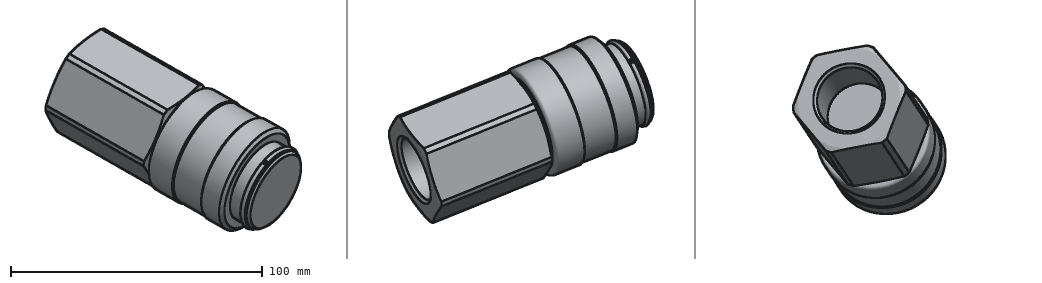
import cadquery as cq
import math


hex_across_flats = 41.0
hex_corner_dia = 45.9
hex_tilt = -8.2
hex_length = 51.1
front_face_dia = 41.4
front_chamfer_length = 0.6
back_chamfer_length = 1.0

bore_dia = 26.4
bore_mouth_dia = 29.0
bore_depth = 24.75

neck_dia = 39.2

sleeve_dia = 45.9
sleeve_start = 52.1
sleeve_end = 89.5
sleeve_fillet = 1.4
sleeve_end_face_dia = 42.3
sleeve_end_chamfer_length = 1.3

band_dia = 45.0
band_start = 64.5
band_end = 79.3
band_edge_length = 0.5

spigot_dia = 35.0
spigot_end = 99.0
spigot_chamfer = 1.1

wire_dia = 2.2
groove_floor_dia = 32.6
ring_x = 95.9
ring_gap_angle = 4.6
ring_gap_tilt = 10.4


def cylinder(diameter, start, end):
    """Solid cylinder on the X axis."""
    return cq.Workplane("YZ").workplane(offset=start).circle(diameter / 2).extrude(end - start)


def turned(points):
    """Solid of revolution about the X axis from (x, radius) points."""
    return cq.Workplane("XY").polyline(points).close().revolve(360, (0, 0, 0), (1, 0, 0))


def make_hex_end():
    corner_to_corner = hex_across_flats / math.cos(math.pi / 6)
    prism = (
        cq.Workplane("YZ")
        .polygon(6, corner_to_corner)
        .extrude(hex_length)
        .rotate((0, 0, 0), (1, 0, 0), hex_tilt)
    )
    corner_envelope = turned([
        (0, 0),
        (0, front_face_dia / 2),
        (front_chamfer_length, hex_corner_dia / 2),
        (hex_length - back_chamfer_length, hex_corner_dia / 2),
        (hex_length, neck_dia / 2),
        (hex_length, 0),
    ])
    return prism.intersect(corner_envelope)


def make_sleeve():
    sleeve = turned([
        (sleeve_start, 0),
        (sleeve_start, sleeve_dia / 2),
        (band_start, sleeve_dia / 2),
        (band_start + band_edge_length, band_dia / 2),
        (band_end - band_edge_length, band_dia / 2),
        (band_end, sleeve_dia / 2),
        (sleeve_end - sleeve_end_chamfer_length, sleeve_dia / 2),
        (sleeve_end, sleeve_end_face_dia / 2),
        (sleeve_end, 0),
    ])
    return sleeve.faces("<X").edges().fillet(sleeve_fillet)


def make_spigot():
    spigot = cylinder(spigot_dia, sleeve_end, spigot_end).faces(">X").chamfer(spigot_chamfer)
    groove_start = ring_x - wire_dia / 2
    groove_end = ring_x + wire_dia / 2
    groove = cylinder(spigot_dia, groove_start, groove_end).cut(
        cylinder(groove_floor_dia, groove_start, groove_end)
    )
    return spigot.cut(groove)


def make_bore():
    mouth_chamfer = (bore_mouth_dia - bore_dia) / 2
    return turned([
        (0, 0),
        (0, bore_mouth_dia / 2),
        (mouth_chamfer, bore_dia / 2),
        (bore_depth, bore_dia / 2),
        (bore_depth, 0),
    ])


def make_coupling():
    neck = cylinder(neck_dia, hex_length, sleeve_start)
    return make_hex_end().union(neck).union(make_sleeve()).union(make_spigot()).cut(make_bore())


def make_snap_ring():
    """Round wire resting on the groove floor, open at the top."""
    wire_centre_radius = (groove_floor_dia + wire_dia) / 2
    return (
        cq.Workplane("XZ")
        .center(ring_x, wire_centre_radius)
        .circle(wire_dia / 2)
        .revolve(360 - ring_gap_angle, (0, -wire_centre_radius, 0), (1, -wire_centre_radius, 0))
        .rotate((0, 0, 0), (1, 0, 0), ring_gap_tilt + ring_gap_angle / 2)
    )


coupling = make_coupling()
snap_ring = make_snap_ring()

result = cq.Compound.makeCompound([coupling.solids().val(), snap_ring.val()])